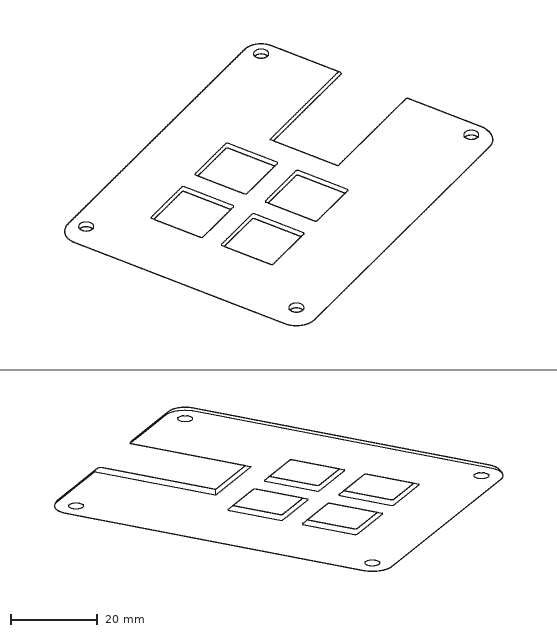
import cadquery as cq
import math

length = 85.9
width = 67.0
thickness = 1.5
corner_radius = 5.0
edge_radius = 2.1

hole_diameter = 3.4

notch_width = 18.5
notch_depth = 31.0
notch_center_x = -0.6

window_size = 14.0
window_pitch = 19.1
window_corner_radius = 0.4
grid_center = (-1.1, -10.9)


def rounded_plate():
    """Plate whose rim arc is tangent to the top and cut off by the bottom face."""
    arc_center_drop = edge_radius - thickness
    overhang = edge_radius - math.sqrt(edge_radius**2 - arc_center_drop**2)
    block_height = 2 * edge_radius
    block = (
        cq.Workplane("XY")
        .workplane(offset=thickness - block_height)
        .rect(width + 2 * overhang, length + 2 * overhang)
        .extrude(block_height)
        .edges("|Z")
        .fillet(corner_radius + overhang)
        .faces(">Z")
        .edges()
        .fillet(edge_radius)
    )
    keep = cq.Workplane("XY").box(2 * width, 2 * length, thickness, centered=(True, True, False))
    return block.intersect(keep)


def screw_holes():
    return (
        cq.Workplane("XY")
        .rect(width - 2 * corner_radius, length - 2 * corner_radius, forConstruction=True)
        .vertices()
        .circle(hole_diameter / 2)
        .extrude(thickness)
    )


def notch():
    return (
        cq.Workplane("XY")
        .center(notch_center_x, length / 2)
        .rect(notch_width, 2 * notch_depth)
        .extrude(thickness)
    )


def windows():
    return (
        cq.Workplane("XY")
        .center(*grid_center)
        .rarray(window_pitch, window_pitch, 2, 2)
        .rect(window_size, window_size)
        .extrude(thickness)
        .edges("|Z")
        .fillet(window_corner_radius)
    )


result = rounded_plate().cut(screw_holes()).cut(notch()).cut(windows())